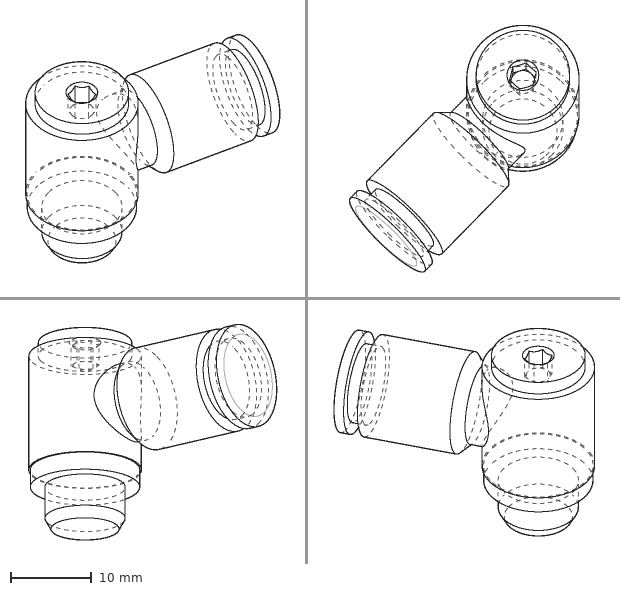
import cadquery as cq
import math

overall_length = 31.8
total_height = 24.5
body_radius = 7.0
cap_radius = 5.82
collar_radius = 6.8
stud_radius = 5.0
stud_tip_radius = 4.23
tip_chamfer_top = 1.4
stud_top = 5.5
collar_top = 7.75
body_top = 22.75

branch_height = 15.23
branch_end = overall_length - body_radius
neck_radius = 5.0
sleeve_radius = 6.5
cone_start = 7.95
cone_end = cone_start + (sleeve_radius - neck_radius)
sleeve_end = 21.5
ring_start = 23.3
ring_edge = 24.58
ring_face_radius = 5.2

hex_across_flats = 3.0
hex_across_corners = hex_across_flats / math.cos(math.pi / 6)
socket_depth = 3.0
mouth_radius = 1.97
drill_point_angle = 118.0


def revolve_profile(points):
    """Solid of revolution about Z from (radius, height) corners of its outer edge."""
    outline = [(0, points[0][1])] + points + [(0, points[-1][1])]
    return cq.Workplane("XZ").polyline(outline).close().revolve(360, (0, 0, 0), (0, 1, 0))


def make_cone(radius, depth, top):
    """Downward-pointing cone whose flat base lies at height top."""
    return cq.Workplane(cq.Solid.makeCone(0, radius, depth)).translate((0, 0, top - depth))


def make_upright():
    return revolve_profile([
        (stud_tip_radius, 0),
        (stud_radius, tip_chamfer_top),
        (stud_radius, stud_top),
        (collar_radius, stud_top),
        (collar_radius, collar_top),
        (body_radius, collar_top),
        (body_radius, body_top),
        (cap_radius, body_top),
        (cap_radius, total_height),
    ])


def make_branch():
    branch = revolve_profile([
        (neck_radius, 0),
        (neck_radius, cone_start),
        (sleeve_radius, cone_end),
        (sleeve_radius, sleeve_end),
        (neck_radius, sleeve_end),
        (neck_radius, ring_start),
        (sleeve_radius, ring_start),
        (sleeve_radius, ring_edge),
        (ring_face_radius, branch_end),
    ])
    return branch.rotate((0, 0, 0), (1, 0, 0), -90).translate((0, 0, branch_height))


def make_socket():
    floor = total_height - socket_depth
    hexagon = (
        cq.Workplane("XY")
        .workplane(offset=floor)
        .polygon(6, hex_across_corners)
        .extrude(socket_depth)
    )
    drill_radius = hex_across_flats / 2
    point_depth = drill_radius / math.tan(math.radians(drill_point_angle / 2))
    drill_point = make_cone(drill_radius, point_depth, floor)
    countersink = make_cone(mouth_radius, mouth_radius, total_height)
    return hexagon.union(drill_point).union(countersink)


result = make_upright().union(make_branch()).cut(make_socket())